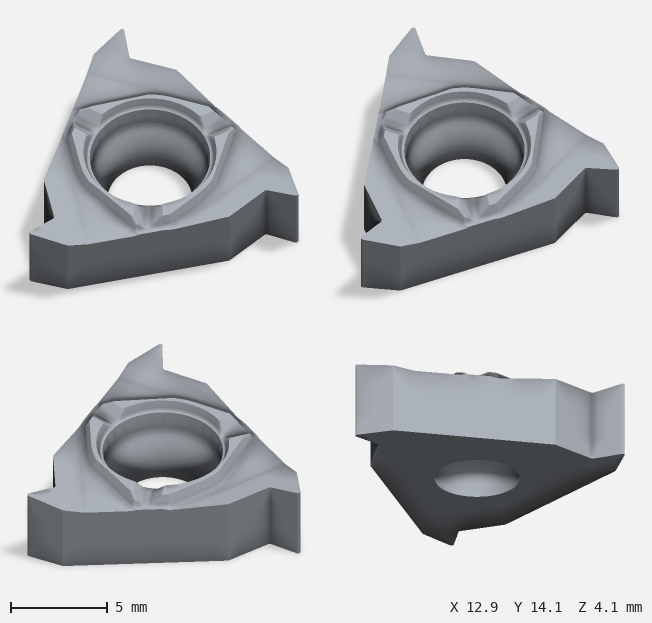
import cadquery as cq
import math

TEETH = 3
TOOTH_TURN = 2 * math.pi / TEETH
THICKNESS = 4.1
LENGTH = 14.11
INSCRIBED_DIAMETER = 9.52
APOTHEM = INSCRIBED_DIAMETER / 2

TOOTH_AXIS_X = -3.75
SHOULDER_Y = 5.7
TOOTH_HALF_ANGLE = math.radians(27.5)
TIP_RADIUS = 0.13
ROOT_RADIUS = 0.13
TIP_SPAN_Y = LENGTH - 2 * TIP_RADIUS
TIP_CENTER_Y = (TIP_SPAN_Y + TOOTH_AXIS_X * math.sin(TOOTH_TURN)) / (1 - math.cos(TOOTH_TURN))
APEX_Y = TIP_CENTER_Y + TIP_RADIUS / math.sin(TOOTH_HALF_ANGLE)

FLOOR_Z = 3.53
RAKE_START_Y = 4.25
RAKE_BLEND_WIDTH = 0.08
RAKE_ANGLE = math.radians(10)

WALL_LEAN = math.radians(30)
FRONT_WALL = 3.7
SIDE_WALL = 3.6
SIDE_WALL_TURN = 32.0
WALL_FILLET = 0.31
CORNER_WALL = 4.2
CORNER_FLOOR_Z = 3.6
CORNER_FILLET = 0.2
CORNER_Y = (-0.35, 2.26)

GROOVE_DIRECTION = 166.0
GROOVE_FLOOR_Z = 3.63
GROOVE_FLOOR_HALF_WIDTH = 0.04
GROOVE_SLOPE = math.radians(38)
GROOVE_FILLET = 0.27

HOLE_RADIUS = 2.2
SEAT_BOTTOM_Z = 0.76
SEAT_ARC_RADIUS = 2.26
SEAT_ARC_ANGLE = math.radians(44)
BORE_BOTTOM = (3.0, 2.68)
BORE_TOP = (3.12, 3.58)
RIM_BOTTOM = (3.32, 3.77)
RIM_TOP = (3.44, THICKNESS)

CONE_TO_SIDE_WALL = (-1.24, 3.61, 3.9)
CONE_TO_SIDE_WALL_RADIUS = 0.85
SIDE_WALL_TO_GROOVE = (-4.12, 1.72, 4.04)
FRONT_WALL_TO_CORNER_WALL = (-4.32, -0.14, 3.9)
GROOVE_TO_RIM_LOWER = (-3.36, 0.3, 3.94)
GROOVE_TO_RIM_UPPER = (-3.1, 1.33, 3.94)
EDGE_RADIUS = 0.14

FAR = 11.29
CLEARANCE = 0.14


def turned(solid, degrees):
    return solid.rotate((0, 0, 0), (0, 0, 1), degrees)


def around_teeth(solid):
    return [turned(solid, math.degrees(i * TOOTH_TURN)) for i in range(TEETH)]


def rotate_point(x, y, angle):
    return (x * math.cos(angle) - y * math.sin(angle), x * math.sin(angle) + y * math.cos(angle))


def rounded_edges(solid, points, radius):
    """Fillet the edges nearest to the points, with their copies at the other teeth."""
    edges = []
    for x, y, z in points:
        for i in range(TEETH):
            near = (*rotate_point(x, y, i * TOOTH_TURN), z)
            edges += solid.edges(cq.selectors.NearestToPointSelector(near)).vals()
    return solid.newObject(edges).fillet(radius)


def body():
    """Prism with the tooth outline repeated around the hole."""
    flank_slope = math.tan(TOOTH_HALF_ANGLE)
    flank_start_y = APEX_Y - (TOOTH_AXIS_X + APOTHEM) / flank_slope
    root_x = TOOTH_AXIS_X + (APEX_Y - SHOULDER_Y) * flank_slope
    edge_normal = math.pi - TOOTH_TURN
    shoulder_end_x = (APOTHEM - SHOULDER_Y * math.sin(edge_normal)) / math.cos(edge_normal)
    apex = (TOOTH_AXIS_X, APEX_Y)
    root = (root_x, SHOULDER_Y)
    tooth = [(-APOTHEM, flank_start_y), apex, root, (shoulder_end_x, SHOULDER_Y)]
    outline = [rotate_point(x, y, -i * TOOTH_TURN) for i in range(TEETH) for x, y in tooth]
    prism = cq.Workplane("XY").polyline(outline).close().extrude(THICKNESS)
    prism = rounded_edges(prism, [(*apex, THICKNESS / 2)], TIP_RADIUS)
    return rounded_edges(prism, [(*root, THICKNESS / 2)], ROOT_RADIUS)


def wall_profile(plane, top_distance, floor_z, fillet):
    """Region outside a leaning boss wall that runs into the floor through a fillet."""
    fillet_top_z = floor_z + fillet * (1 - math.sin(WALL_LEAN))
    wall_slope = math.tan(WALL_LEAN)
    fillet_top = top_distance + (THICKNESS - fillet_top_z) * wall_slope
    fillet_end = fillet_top + fillet * math.cos(WALL_LEAN)
    top_z = THICKNESS + CLEARANCE
    return (
        cq.Workplane(plane)
        .moveTo(top_distance - CLEARANCE * wall_slope, top_z)
        .lineTo(fillet_top, fillet_top_z)
        .tangentArcPoint((fillet_end, floor_z), relative=False)
        .lineTo(FAR, floor_z)
        .lineTo(FAR, top_z)
        .close()
    )


def outside_wall(top_distance, floor_z, fillet):
    """Long cutter outside a straight boss wall that faces +Y."""
    return wall_profile("YZ", top_distance, floor_z, fillet).extrude(FAR, both=True)


def above_rake():
    """Space above the floor and the rake face of the +Y tooth."""
    blend_end_y = RAKE_START_Y + RAKE_BLEND_WIDTH
    blend_end_z = FLOOR_Z + RAKE_BLEND_WIDTH * math.tan(RAKE_ANGLE / 2)
    far_z = blend_end_z + (FAR - blend_end_y) * math.tan(RAKE_ANGLE)
    top_z = far_z + CLEARANCE
    return (
        cq.Workplane("YZ")
        .moveTo(0, FLOOR_Z)
        .lineTo(RAKE_START_Y, FLOOR_Z)
        .tangentArcPoint((blend_end_y, blend_end_z), relative=False)
        .lineTo(FAR, far_z)
        .lineTo(FAR, top_z)
        .lineTo(0, top_z)
        .close()
        .extrude(FAR, both=True)
    )


def pocket():
    """Material removed between the boss and the +Y tooth."""
    front = outside_wall(FRONT_WALL, FLOOR_Z, WALL_FILLET)
    side = turned(outside_wall(SIDE_WALL, FLOOR_Z, WALL_FILLET), SIDE_WALL_TURN)
    rounded = turned(
        wall_profile("XZ", FRONT_WALL, FLOOR_Z, WALL_FILLET).revolve(
            SIDE_WALL_TURN, (0, 0, 0), (0, 1, 0)
        ),
        90,
    )
    return front.union(side).union(rounded).intersect(above_rake())


def corner_shelf():
    """Shelf between the boss corner and the -X flank of the body."""
    y_low, y_high = CORNER_Y
    reach = cq.Workplane("XY").box(FAR, y_high - y_low, THICKNESS + CLEARANCE, centered=False)
    reach = reach.translate((-FAR, y_low, 0))
    return turned(outside_wall(CORNER_WALL, CORNER_FLOOR_Z, CORNER_FILLET), 90).intersect(reach)


def groove():
    """V groove with a narrow flat floor, running outward from the hole."""
    top_z = THICKNESS + CLEARANCE
    fillet_x = GROOVE_FLOOR_HALF_WIDTH + GROOVE_FILLET * math.sin(GROOVE_SLOPE)
    fillet_z = GROOVE_FLOOR_Z + GROOVE_FILLET * (1 - math.cos(GROOVE_SLOPE))
    top_x = fillet_x + (top_z - fillet_z) / math.tan(GROOVE_SLOPE)
    middle_x = GROOVE_FLOOR_HALF_WIDTH + GROOVE_FILLET * math.sin(GROOVE_SLOPE / 2)
    middle_z = GROOVE_FLOOR_Z + GROOVE_FILLET * (1 - math.cos(GROOVE_SLOPE / 2))
    channel = (
        cq.Workplane("YZ")
        .moveTo(-GROOVE_FLOOR_HALF_WIDTH, GROOVE_FLOOR_Z)
        .lineTo(GROOVE_FLOOR_HALF_WIDTH, GROOVE_FLOOR_Z)
        .threePointArc((middle_x, middle_z), (fillet_x, fillet_z))
        .lineTo(top_x, top_z)
        .lineTo(-top_x, top_z)
        .lineTo(-fillet_x, fillet_z)
        .threePointArc((-middle_x, middle_z), (-GROOVE_FLOOR_HALF_WIDTH, GROOVE_FLOOR_Z))
        .close()
        .extrude(APOTHEM + CLEARANCE)
    )
    return turned(channel, GROOVE_DIRECTION)


def screw_hole():
    """Through hole with a bell-shaped screw seat, a tapered bore and a flared rim."""
    seat_center_r = HOLE_RADIUS + SEAT_ARC_RADIUS

    def seat_point(angle):
        r = seat_center_r - SEAT_ARC_RADIUS * math.cos(angle)
        return (r, SEAT_BOTTOM_Z + SEAT_ARC_RADIUS * math.sin(angle))

    return (
        cq.Workplane("XZ")
        .moveTo(0, THICKNESS)
        .lineTo(*RIM_TOP)
        .lineTo(*RIM_BOTTOM)
        .tangentArcPoint(BORE_TOP, relative=False)
        .lineTo(*BORE_BOTTOM)
        .tangentArcPoint(seat_point(SEAT_ARC_ANGLE), relative=False)
        .threePointArc(seat_point(SEAT_ARC_ANGLE / 2), (HOLE_RADIUS, SEAT_BOTTOM_Z))
        .lineTo(HOLE_RADIUS, 0)
        .lineTo(0, 0)
        .close()
        .revolve(360, (0, 0, 0), (0, 1, 0))
    )


result = body()
for cutter in (pocket(), corner_shelf(), groove()):
    for copy in around_teeth(cutter):
        result = result.cut(copy)
result = result.cut(screw_hole())
result = rounded_edges(result, [GROOVE_TO_RIM_LOWER, GROOVE_TO_RIM_UPPER], EDGE_RADIUS)
result = rounded_edges(result, [SIDE_WALL_TO_GROOVE, FRONT_WALL_TO_CORNER_WALL], EDGE_RADIUS)
result = rounded_edges(result, [CONE_TO_SIDE_WALL], CONE_TO_SIDE_WALL_RADIUS)
result = result.solids()